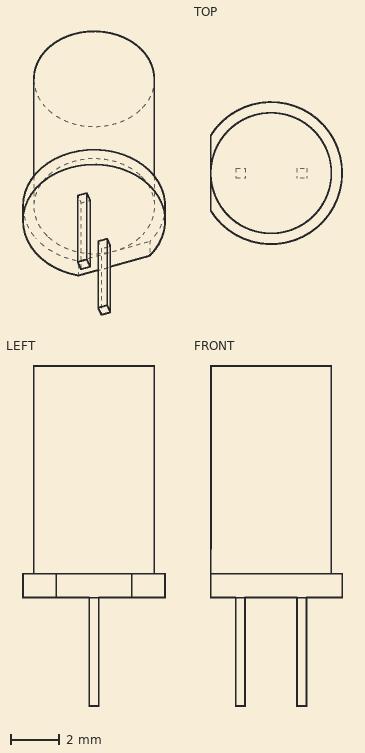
import cadquery as cq

body_diameter = 5.0
body_height = 8.6

flange_diameter = 5.9
flange_thickness = 1.0
flat_distance = body_diameter / 2

lead_pitch = 2.54
lead_width = 0.4
lead_length = 4.5


def make_flange():
    """Disc sitting on Z = 0, cut off by a flat on the -X side."""
    disc = cq.Workplane("XY").circle(flange_diameter / 2).extrude(flange_thickness)
    keep = (
        cq.Workplane("XY")
        .box(flange_diameter, flange_diameter, flange_thickness, centered=(False, True, False))
        .translate((-flat_distance, 0, 0))
    )
    return disc.intersect(keep)


def make_body():
    """Cylinder standing on the flange."""
    return (
        cq.Workplane("XY")
        .workplane(offset=flange_thickness)
        .circle(body_diameter / 2)
        .extrude(body_height)
    )


def make_leads():
    """Two square pins hanging below the flange."""
    lead_centres = [(-lead_pitch / 2, 0), (lead_pitch / 2, 0)]
    return (
        cq.Workplane("XY")
        .pushPoints(lead_centres)
        .rect(lead_width, lead_width)
        .extrude(-lead_length)
    )


result = make_flange().union(make_body()).union(make_leads())